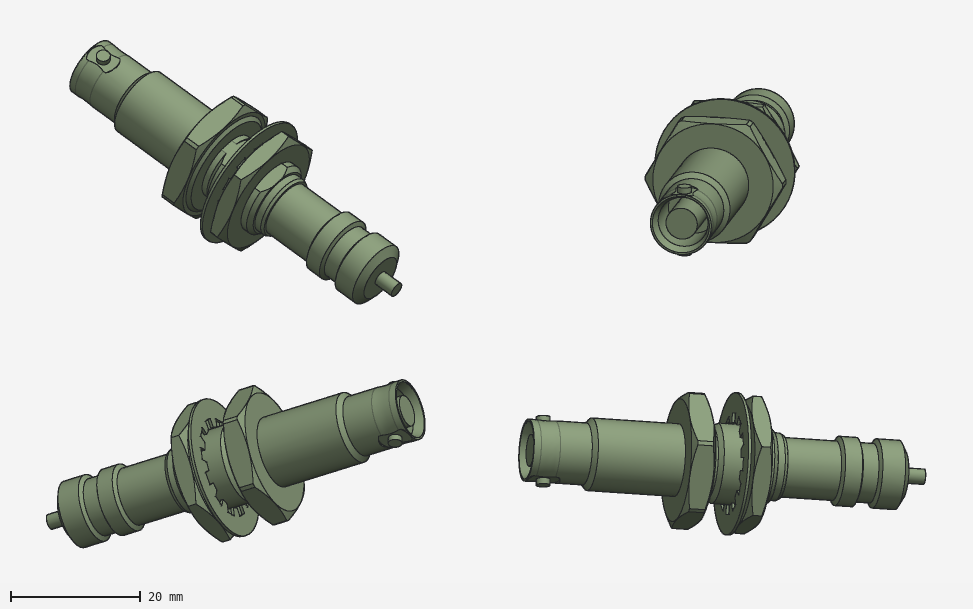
import cadquery as cq


TOTAL_LENGTH = 63.2
FRONT_R = 4.8
BARREL_R = 5.6
SHOULDER_START = 9.2
SHOULDER_END = 10.0

BORE_MOUTH_R = 4.5
BORE_R = 3.9
BORE_TAPER_LENGTH = 1.65
BORE_DEPTH = SHOULDER_START
POST_R = 2.45
POST_RECESS = 0.6

BAYONET_X = 2.65
BAYONET_PIN_R = 1.1
BAYONET_PIN_REACH = 5.45
SPOTFACE_R = 2.6
SPOTFACE_Z = 4.5
GROOVE_HALF_WIDTH = 1.5
GROOVE_DEPTH = 0.095

SLEEVE_R = 4.6
BAND_R = 5.4
FIRST_BAND_START = 48.9
FIRST_BAND_END = 52.4
SECOND_BAND_START = 54.85
BAND_FRONT_CHAMFER = 0.45
BAND_REAR_CHAMFER = 0.3
SLEEVE_END = 59.85
END_CHAMFER_LENGTH = 0.95
END_FACE_R = 3.8
CONTACT_R = 1.2

HEX_CORNER_R = 11.0
HEX_FACE_R = 9.5
HEX_CHAMFER_SLOPE = 0.48

FLANGE_START = 23.8
FLANGE_END = 27.55
FLANGE_CORNER_R = 10.8
BOSS_BASE_R = 8.8
BOSS_END_R = 8.15
BOSS_END = 28.05
THREAD_R = 6.3
RELIEF_R = BARREL_R
RELIEF_END = 29.1
THREAD_LEAD = 0.75
THREAD_END = 38.6
COLLAR_R = 5.25
COLLAR_END = 40.3
COLLAR_CHAMFER_LENGTH = 0.5
COLLAR_CHAMFER_DEPTH = 0.25
THREAD_FLAT_Z = 5.5

WASHER_START = 32.5
WASHER_THICKNESS = 0.45
WASHER_R = 11.0
TOOTH_TIP_R = 6.45
TOOTH_ROOT_R = 7.85
TOOTH_COUNT = 12
TOOTH_GAP_WIDTH = 2.0
NUT_START = 33.9
NUT_LENGTH = 2.85


def disc(start, length, radius):
    """Cylinder along X."""
    return cq.Workplane("YZ", origin=(start, 0, 0)).circle(radius).extrude(length)


def revolve_about_x(sketch):
    """Full turn of a closed XZ outline about the X axis."""
    return sketch.close().revolve(360, (0, 0, 0), (1, 0, 0))


def chamfered_hexagon(start, length, corner_r):
    """Hexagon with flats facing +Z and -Z, its corners turned to corner_r and coned at both ends."""
    prism = (
        cq.Workplane("YZ", origin=(start, 0, 0))
        .polygon(6, 2 * HEX_CORNER_R)
        .extrude(length)
    )
    cone_length = HEX_CHAMFER_SLOPE * (corner_r - HEX_FACE_R)
    end = start + length
    envelope = revolve_about_x(
        cq.Workplane("XZ")
        .moveTo(start, 0)
        .lineTo(start, HEX_FACE_R)
        .lineTo(start + cone_length, corner_r)
        .lineTo(end - cone_length, corner_r)
        .lineTo(end, HEX_FACE_R)
        .lineTo(end, 0)
    )
    return prism.intersect(envelope)


def jack_blank():
    """Turned outside of the jack, stepped down to the sleeve where the bushing sits."""
    outline = (
        cq.Workplane("XZ")
        .lineTo(0, FRONT_R)
        .lineTo(BAYONET_X - GROOVE_HALF_WIDTH, FRONT_R)
        .threePointArc(
            (BAYONET_X, FRONT_R - GROOVE_DEPTH),
            (BAYONET_X + GROOVE_HALF_WIDTH, FRONT_R),
        )
        .lineTo(SHOULDER_START, FRONT_R)
        .lineTo(SHOULDER_END, BARREL_R)
        .lineTo(FLANGE_START, BARREL_R)
        .lineTo(FLANGE_START, SLEEVE_R)
        .lineTo(FIRST_BAND_START, SLEEVE_R)
        .lineTo(FIRST_BAND_START + BAND_FRONT_CHAMFER, BAND_R)
        .lineTo(FIRST_BAND_END - BAND_REAR_CHAMFER, BAND_R)
        .lineTo(FIRST_BAND_END, SLEEVE_R)
        .lineTo(SECOND_BAND_START, SLEEVE_R)
        .lineTo(SECOND_BAND_START + BAND_FRONT_CHAMFER, BAND_R)
        .lineTo(SLEEVE_END - END_CHAMFER_LENGTH, BAND_R)
        .lineTo(SLEEVE_END, END_FACE_R)
        .lineTo(SLEEVE_END, CONTACT_R)
        .lineTo(TOTAL_LENGTH, CONTACT_R)
        .lineTo(TOTAL_LENGTH, 0)
    )
    return revolve_about_x(outline)


def front_bore():
    """Space between the tapered front bore and the post on its axis."""
    bore = revolve_about_x(
        cq.Workplane("XZ")
        .lineTo(0, BORE_MOUTH_R)
        .lineTo(BORE_TAPER_LENGTH, BORE_R)
        .lineTo(BORE_DEPTH, BORE_R)
        .lineTo(BORE_DEPTH, 0)
    )
    return bore.cut(disc(POST_RECESS, BORE_DEPTH - POST_RECESS, POST_R))


def make_jack():
    jack = jack_blank()
    pin_root = (BORE_MOUTH_R + BORE_R) / 2
    for side in (1, -1):
        spotface = (
            cq.Workplane("XY", origin=(BAYONET_X, 0, side * SPOTFACE_Z))
            .circle(SPOTFACE_R)
            .extrude(side * (FRONT_R - SPOTFACE_Z))
        )
        pin = (
            cq.Workplane("XY", origin=(BAYONET_X, 0, side * pin_root))
            .circle(BAYONET_PIN_R)
            .extrude(side * (BAYONET_PIN_REACH - pin_root))
        )
        jack = jack.cut(spotface).union(pin)
    return jack.cut(front_bore())


def make_bushing():
    """Hex flange with a boss and a chamfered thread, flatted on top, bored for the sleeve."""
    stem = revolve_about_x(
        cq.Workplane("XZ")
        .moveTo(FLANGE_END, 0)
        .lineTo(FLANGE_END, RELIEF_R)
        .lineTo(RELIEF_END, RELIEF_R)
        .lineTo(RELIEF_END + THREAD_LEAD, THREAD_R)
        .lineTo(THREAD_END - THREAD_LEAD, THREAD_R)
        .lineTo(THREAD_END, RELIEF_R)
        .lineTo(THREAD_END, COLLAR_R)
        .lineTo(COLLAR_END - COLLAR_CHAMFER_LENGTH, COLLAR_R)
        .lineTo(COLLAR_END, COLLAR_R - COLLAR_CHAMFER_DEPTH)
        .lineTo(COLLAR_END, 0)
    )
    above_flat = (
        cq.Workplane("XY", origin=(FLANGE_END, 0, THREAD_FLAT_Z))
        .rect(2 * (COLLAR_END - FLANGE_END), 2 * THREAD_R)
        .extrude(THREAD_R - THREAD_FLAT_Z)
    )
    boss = revolve_about_x(
        cq.Workplane("XZ")
        .moveTo(FLANGE_END, 0)
        .lineTo(FLANGE_END, BOSS_BASE_R)
        .lineTo(BOSS_END, BOSS_END_R)
        .lineTo(BOSS_END, 0)
    )
    flange = chamfered_hexagon(FLANGE_START, FLANGE_END - FLANGE_START, FLANGE_CORNER_R)
    bore = disc(FLANGE_START, COLLAR_END - FLANGE_START, SLEEVE_R)
    return stem.cut(above_flat).union(boss).union(flange).cut(bore)


def make_lock_washer():
    """Thin ring whose internal teeth clear the thread narrowly."""
    washer = disc(WASHER_START, WASHER_THICKNESS, WASHER_R).cut(
        disc(WASHER_START, WASHER_THICKNESS, TOOTH_TIP_R)
    )
    gap_centre_r = TOOTH_ROOT_R / 2
    gap = (
        cq.Workplane("YZ", origin=(WASHER_START, 0, 0))
        .center(0, gap_centre_r)
        .rect(TOOTH_GAP_WIDTH, TOOTH_ROOT_R)
        .extrude(WASHER_THICKNESS)
    )
    pitch_angle = 360 / TOOTH_COUNT
    for index in range(TOOTH_COUNT):
        washer = washer.cut(gap.rotate((0, 0, 0), (1, 0, 0), (index + 0.5) * pitch_angle))
    return washer


def make_nut():
    nut = chamfered_hexagon(NUT_START, NUT_LENGTH, HEX_CORNER_R)
    return nut.cut(disc(NUT_START, NUT_LENGTH, THREAD_R))


jack = make_jack()
bushing = make_bushing()
lock_washer = make_lock_washer()
nut = make_nut()

result = cq.Compound.makeCompound([jack.val(), bushing.val(), lock_washer.val(), nut.val()])